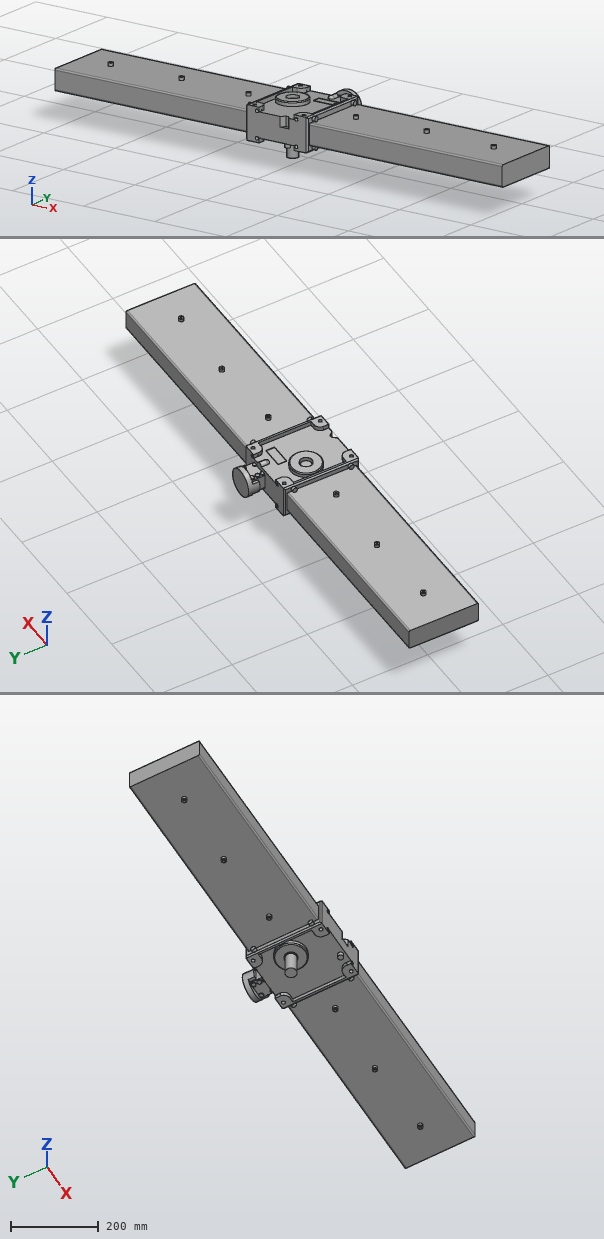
import cadquery as cq

housing_width = 174.0
housing_depth = 200.0
housing_height = 85.0
end_plate_chamfer = 4.0
end_plate_thickness = 9.0
web_height = 63.0
web_width = housing_width - 2 * end_plate_thickness

pad_width = 29.0
pad_depth = 30.0
pad_radius = 16.0
pad_hole_diameter = 8.5
pad_hole_depth = 13.0
pad_hole_x = 69.0
pad_hole_y = 89.0

side_hole_diameter = 8.3
side_hole_depth = 13.0
side_hole_x = 55.0
side_hole_z = 33.0

shaft_x = -34.0
shaft_y = 10.0
hub_diameter = 79.0
hub_chamfer = 3.0

collar_diameter = 31.0
collar_length_below = 3.0
shaft_diameter = 28.0
shaft_chamfer = 3.0
shaft_recess = 8.0
shaft_bottom_z = -101.0

input_x = 23.0
adapter_end_y = housing_depth / 2 + 50.0
adapter_disc_diameter = 72.0
adapter_disc_thickness = 14.0
adapter_ear_length = 16.0
adapter_ear_height = 30.0
neck_width = 50.0
neck_height = 39.0
neck_screw_diameter = 11.5
neck_screw_height = 3.0
neck_screw_offset = 18.0
neck_screw_places = [(-1, 131.0), (-1, 116.0), (-1, 102.0), (1, 131.0), (1, 102.0)]

spindle_diameter = 18.0
spindle_z = 29.0
spindle_inner_y = 83.0

notch_width = 25.0
notch_back_width = 8.0
notch_depth = 10.0
notch_length = 25.0
plug_diameter = 14.0
plug_y = -88.0

name_plate_length = 54.0
name_plate_width = 23.0
name_plate_thickness = 1.0
name_plate_x = 29.0
name_plate_y = 52.0

plate_screw_diameter = 12.5
plate_screw_height = 8.0
plate_socket_diameter = 6.7
plate_screw_y = 75.0
plate_screw_z = 34.0

socket_depth = 4.0

total_length = 1258.0
arm_length = (total_length - housing_width) / 2
arm_depth = 185.0
arm_height = 54.0
arm_edge_radius = 4.0
bolt_spacing = 194.0
bolt_end_distance = 90.0
bolt_head_diameter = 12.2
bolt_head_height = 8.0
bolt_socket_diameter = 4.9
bolt_tip_diameter = 6.7
bolt_tip_length = 4.0
middle_bolt_y = 8.0

half_height = housing_height / 2
half_web = web_height / 2
half_depth = housing_depth / 2
SIDES = (-1, 1)


def cylinder(diameter, height, start, direction):
    """Cylinder from a start point along a direction."""
    solid = cq.Solid.makeCylinder(diameter / 2, height, cq.Vector(*start), cq.Vector(*direction))
    return cq.Workplane(solid)


def make_web_and_plates():
    block = cq.Workplane().box(housing_width, housing_depth, housing_height)
    block = block.faces("<X or >X").chamfer(end_plate_chamfer)
    relief_height = half_height - half_web
    for side in SIDES:
        relief = cq.Workplane().box(web_width, housing_depth, relief_height)
        block = block.cut(relief.translate((0, 0, side * (half_web + relief_height / 2))))
    return block


def make_pads():
    """Four full-height corner posts, rounded at the corner that faces the middle."""
    pads = cq.Workplane()
    for x_side in SIDES:
        for y_side in SIDES:
            pad = cq.Workplane().box(pad_width, pad_depth, housing_height)
            inner_face = "<X" if x_side > 0 else ">X"
            inner_edge = "<Y" if y_side > 0 else ">Y"
            pad = pad.faces(inner_face).edges(inner_edge).fillet(pad_radius)
            center_x = x_side * (web_width - pad_width) / 2
            center_y = y_side * (housing_depth - pad_depth) / 2
            pads = pads.add(pad.translate((center_x, center_y, 0)))
    return pads.combine()


def make_adapter():
    """Round flange with two flat ears behind it, on a neck that carries small screw heads."""
    along_y = (0, 1, 0)
    disc_y = adapter_end_y - adapter_disc_thickness
    ear_y = disc_y - adapter_ear_length
    disc = cylinder(adapter_disc_diameter, adapter_disc_thickness, (input_x, disc_y, 0), along_y)
    ear_round = cylinder(adapter_disc_diameter, adapter_ear_length, (input_x, ear_y, 0), along_y)
    ear_slab = cq.Workplane().box(adapter_disc_diameter, 2 * adapter_end_y, adapter_ear_height)
    ears = ear_round.intersect(ear_slab.translate((input_x, adapter_end_y, 0)))
    neck_length = disc_y - half_depth
    neck = cq.Workplane().box(neck_width, neck_length, neck_height)
    neck = neck.translate((input_x, half_depth + neck_length / 2, 0))
    adapter = disc.union(ears).union(neck)
    screw_reach = neck_height / 2 + neck_screw_height
    for x_side, screw_y in neck_screw_places:
        screw = cq.Workplane().circle(neck_screw_diameter / 2).extrude(screw_reach, both=True)
        adapter = adapter.union(screw.translate((input_x + x_side * neck_screw_offset, screw_y, 0)))
    return adapter


def make_spindle_bump():
    length = half_depth - spindle_inner_y
    bump = cylinder(spindle_diameter, length, (input_x, spindle_inner_y, spindle_z), (0, 1, 0))
    dome = cq.Workplane().sphere(spindle_diameter / 2).translate((input_x, spindle_inner_y, spindle_z))
    return bump.union(dome)


def make_notch():
    half_width = notch_width / 2
    half_back = notch_back_width / 2
    outline = [(-half_width, 0), (half_width, 0), (half_back, notch_depth), (-half_back, notch_depth)]
    notch = cq.Workplane().polyline(outline).close().extrude(notch_length)
    return notch.translate((input_x, -half_depth, half_web - notch_length))


def make_plate_screws():
    screws = cq.Workplane()
    for x_side in SIDES:
        for y_side in SIDES:
            for z_side in SIDES:
                start = (x_side * housing_width / 2, y_side * plate_screw_y, z_side * plate_screw_z)
                outward = (x_side, 0, 0)
                screw = cylinder(plate_screw_diameter, plate_screw_height, start, outward)
                outer_face = ">X" if x_side > 0 else "<X"
                screw = screw.faces(outer_face).workplane().hole(plate_socket_diameter, socket_depth)
                screws = screws.add(screw)
    return screws.combine()


def make_housing():
    body = make_web_and_plates().union(make_pads())
    hub = cq.Workplane().circle(hub_diameter / 2).extrude(half_height, both=True)
    hub = hub.faces("<Z or >Z").chamfer(hub_chamfer)
    body = body.union(hub.translate((shaft_x, shaft_y, 0)))
    body = body.union(make_adapter()).union(make_spindle_bump()).union(make_plate_screws())

    plate = cq.Workplane().box(name_plate_length, name_plate_width, name_plate_thickness)
    body = body.union(plate.translate((name_plate_x, name_plate_y, half_web + name_plate_thickness / 2)))
    plug_height = half_height - half_web
    body = body.union(cylinder(plug_diameter, plug_height, (input_x, plug_y, -half_height), (0, 0, 1)))

    body = body.cut(cylinder(collar_diameter, housing_height, (shaft_x, shaft_y, -half_height), (0, 0, 1)))
    body = body.cut(make_notch())
    for z_side in SIDES:
        for x_side in SIDES:
            for y_side in SIDES:
                start = (x_side * pad_hole_x, y_side * pad_hole_y, z_side * half_height)
                body = body.cut(cylinder(pad_hole_diameter, pad_hole_depth, start, (0, 0, -z_side)))
                start = (x_side * side_hole_x, y_side * half_depth, z_side * side_hole_z)
                body = body.cut(cylinder(side_hole_diameter, side_hole_depth, start, (0, -y_side, 0)))
    return body


def make_shaft():
    up = (0, 0, 1)
    collar_bottom_z = -half_height - collar_length_below
    collar_length = half_height - shaft_recess - collar_bottom_z
    collar = cylinder(collar_diameter, collar_length, (shaft_x, shaft_y, collar_bottom_z), up)
    collar = collar.faces(">Z").chamfer(shaft_chamfer)
    end_length = collar_bottom_z - shaft_bottom_z
    return collar.union(cylinder(shaft_diameter, end_length, (shaft_x, shaft_y, shaft_bottom_z), up))


def make_arm(x_side):
    """Long bar with a row of three bolts, on one side of the housing."""
    arm = cq.Workplane().box(arm_length, arm_depth, arm_height).edges("|X").fillet(arm_edge_radius)
    arm = arm.translate((x_side * (housing_width + arm_length) / 2, 0, 0))
    for index, bolt_y in enumerate((0, middle_bolt_y, 0)):
        bolt_x = x_side * (total_length / 2 - bolt_end_distance - index * bolt_spacing)
        head_reach = arm_height / 2 + bolt_head_height
        heads = cylinder(bolt_head_diameter, 2 * head_reach, (bolt_x, bolt_y, -head_reach), (0, 0, 1))
        tip = cylinder(bolt_tip_diameter, bolt_tip_length, (bolt_x, bolt_y, -head_reach), (0, 0, -1))
        socket_start = (bolt_x, bolt_y, head_reach)
        socket = cylinder(bolt_socket_diameter, socket_depth, socket_start, (0, 0, -1))
        arm = arm.union(heads).union(tip).cut(socket)
    return arm


housing = make_housing()
shaft = make_shaft()
arms = [make_arm(x_side) for x_side in SIDES]

result = cq.Compound.makeCompound([housing.val(), shaft.val(), *[arm.val() for arm in arms]])